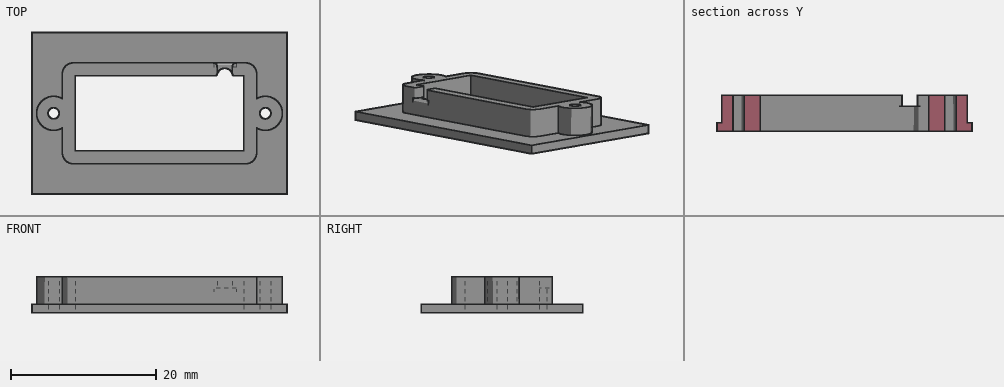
import cadquery as cq
import math

plate_length = 35.2
plate_width = 22.3
plate_thickness = 1.2
total_height = 5.0

window_length = 23.2
window_width = 10.3
wall_thickness = 1.8
frame_length = window_length + 2 * wall_thickness
frame_width = window_width + 2 * wall_thickness
frame_corner_radius = 1.5

lug_offset = 14.6
lug_radius = 2.35
lug_centres = [(-lug_offset, 0), (lug_offset, 0)]
screw_hole_diameter = 1.5

passage_x = 9.0
passage_width = 2.1
notch_depth = 1.5
notch_floor_z = total_height - notch_depth
mouth_radius = 0.35
outer_edge_radius = 0.5
groove_radius = passage_width / 2
passage_right = passage_x + passage_width / 2
passage_left = passage_x - passage_width / 2

inner_face_y = window_width / 2
outer_face_y = frame_width / 2


def make_plate():
    return cq.Workplane("XY").box(plate_length, plate_width, plate_thickness, centered=(True, True, False))


def make_frame():
    """Rounded frame with its two lugs, standing from the plate underside to full height."""
    frame = (
        cq.Workplane("XY")
        .rect(frame_length, frame_width)
        .extrude(total_height)
        .edges("|Z")
        .fillet(frame_corner_radius)
    )
    lugs = (
        cq.Workplane("XY")
        .pushPoints(lug_centres)
        .circle(lug_radius)
        .extrude(total_height)
    )
    return frame.union(lugs)


def make_window():
    return cq.Workplane("XY").rect(window_length, window_width).extrude(total_height)


def make_screw_holes():
    return (
        cq.Workplane("XY")
        .pushPoints(lug_centres)
        .circle(screw_hole_diameter / 2)
        .extrude(total_height)
    )


def make_groove():
    """Half-round vertical groove, full height, with its two edges on the inner face rounded."""
    centre_distance = groove_radius + mouth_radius
    mouth_half_width = math.sqrt(centre_distance**2 - mouth_radius**2)
    tangent_ratio = groove_radius / centre_distance
    tangent_x = mouth_half_width * tangent_ratio
    tangent_y = inner_face_y + mouth_radius * tangent_ratio
    return (
        cq.Workplane("XY")
        .moveTo(passage_x - mouth_half_width, inner_face_y)
        .lineTo(passage_x + mouth_half_width, inner_face_y)
        .radiusArc((passage_x + tangent_x, tangent_y), mouth_radius)
        .threePointArc((passage_x, inner_face_y + groove_radius), (passage_x - tangent_x, tangent_y))
        .radiusArc((passage_x - mouth_half_width, inner_face_y), mouth_radius)
        .close()
        .extrude(total_height)
    )


def make_notch():
    """Slot through the top of the wall, with the wall ends rounded at both mouths."""
    inner_start_y = inner_face_y + mouth_radius
    outer_start_y = outer_face_y - outer_edge_radius
    return (
        cq.Workplane("XY", origin=(0, 0, notch_floor_z))
        .moveTo(passage_left - mouth_radius, inner_face_y)
        .lineTo(passage_right + mouth_radius, inner_face_y)
        .radiusArc((passage_right, inner_start_y), mouth_radius)
        .lineTo(passage_right, outer_start_y)
        .radiusArc((passage_right + outer_edge_radius, outer_face_y), outer_edge_radius)
        .lineTo(passage_left - outer_edge_radius, outer_face_y)
        .radiusArc((passage_left, outer_start_y), outer_edge_radius)
        .lineTo(passage_left, inner_start_y)
        .radiusArc((passage_left - mouth_radius, inner_face_y), mouth_radius)
        .close()
        .extrude(notch_depth)
    )


def make_sill_rounding():
    """Material to remove so that the notch floor rolls over into the outer wall face."""
    mouth_width = passage_width + 2 * outer_edge_radius
    return (
        cq.Workplane("YZ", origin=(passage_x - mouth_width / 2, 0, 0))
        .moveTo(outer_face_y - outer_edge_radius, notch_floor_z)
        .radiusArc((outer_face_y, notch_floor_z - outer_edge_radius), outer_edge_radius)
        .lineTo(outer_face_y, notch_floor_z)
        .close()
        .extrude(mouth_width)
    )


result = (
    make_plate()
    .union(make_frame())
    .cut(make_window())
    .cut(make_screw_holes())
    .cut(make_notch())
    .cut(make_groove())
    .cut(make_sill_rounding())
)